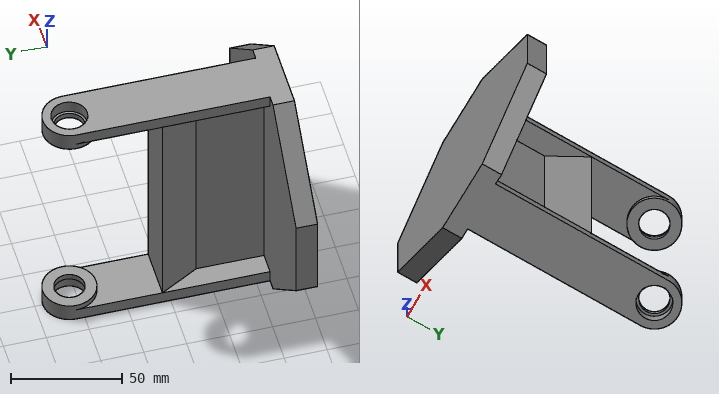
import cadquery as cq

plate_width = 115.0
plate_height = 121.0
plate_thickness = 10.0
corner_cut = 39.9

arm_width = 24.8
arm_thickness = 6.0
arm_reach = 112.5
arm_end_radius = arm_width / 2
pivot_y = arm_reach - arm_end_radius

boss_height = 2.9
bore_diameter = 14.0
counterbore_diameter = 16.6
counterbore_depth = arm_thickness

web_thickness = 4.0
web_reach = 60.1
flare_start_y = 41.6


def make_plate():
    return (
        cq.Workplane("XY")
        .box(plate_width, plate_thickness, plate_height, centered=(True, False, True))
        .edges("|Y")
        .chamfer(corner_cut)
    )


def make_upper_arm():
    outer_z = plate_height / 2
    inner_z = outer_z - arm_thickness
    half_width = arm_width / 2
    arm = (
        cq.Workplane("XY", origin=(0, 0, inner_z))
        .moveTo(-half_width, 0)
        .lineTo(half_width, 0)
        .lineTo(half_width, pivot_y)
        .threePointArc((0, arm_reach), (-half_width, pivot_y))
        .close()
        .extrude(arm_thickness)
    )
    boss = (
        cq.Workplane("XY", origin=(0, pivot_y, inner_z - boss_height))
        .circle(arm_end_radius)
        .extrude(boss_height)
    )
    return (
        arm.union(boss)
        .faces(">Z")
        .workplane(origin=(0, pivot_y, outer_z))
        .cboreHole(bore_diameter, counterbore_diameter, counterbore_depth)
    )


def make_web():
    half_web = web_thickness / 2
    half_flare = arm_width / 2
    web_height = plate_height - 2 * arm_thickness
    outline = [
        (-half_web, 0),
        (half_web, 0),
        (half_web, flare_start_y),
        (half_flare, web_reach),
        (-half_flare, web_reach),
        (-half_web, flare_start_y),
    ]
    return (
        cq.Workplane("XY", origin=(0, 0, -web_height / 2))
        .polyline(outline)
        .close()
        .extrude(web_height)
    )


upper_arm = make_upper_arm()
lower_arm = upper_arm.mirror("XY")
result = make_plate().union(make_web()).union(upper_arm).union(lower_arm)